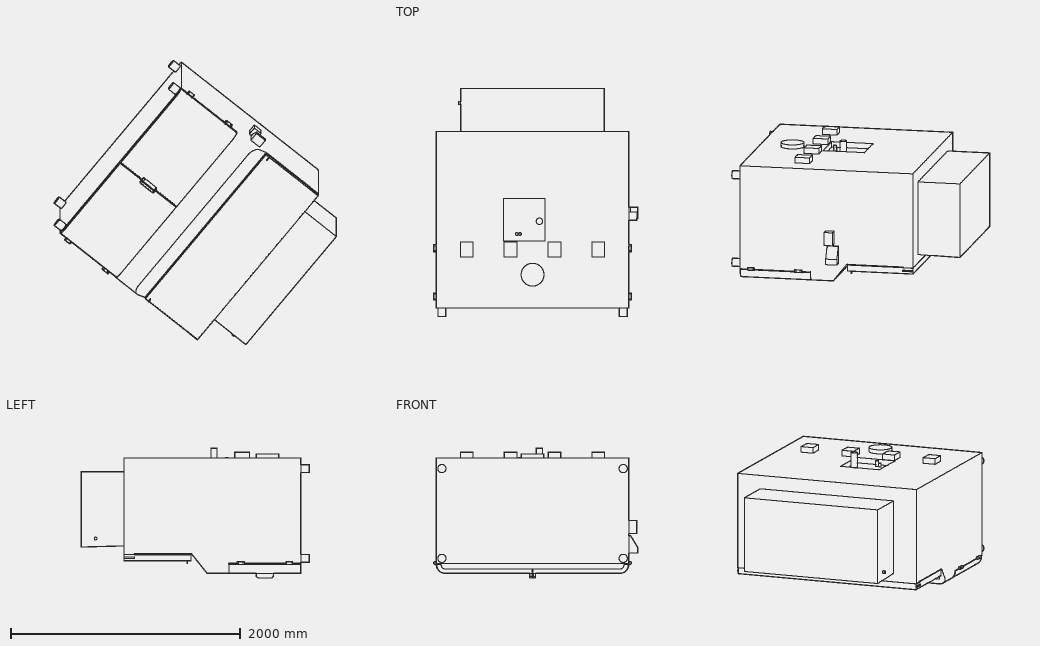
import cadquery as cq


WIDTH = 1680.0
HALF_WIDTH = WIDTH / 2
DEPTH = 1540.0
TOP_Z = 1007.0
FLOOR_Z = 88.0
REAR_FLOOR_Z = 171.0
CORNER_RADIUS = 80.0
SKIRT_FRONT_Y = 627.0
SLOPE_BOTTOM_Y = 816.0
SLOPE_TOP_Y = 953.0

DOOR_TOP_Z = 80.0
DOOR_SIDE_INSET = 5.0
DOOR_CORNER_RADIUS = CORNER_RADIUS - DOOR_SIDE_INSET
DOOR_THICKNESS = 38.0
DOOR_HALF_GAP = 4.0
HANDLE_WIDTH = 22.0
HANDLE_FRONT_Y = 237.0
HANDLE_LENGTH = 151.0
HANDLE_DROP = 40.0
HANDLE_CHAMFER = 14.0
HANDLE_FILLET = 5.0

HINGE_RADIUS = 12.0
HINGE_X = HALF_WIDTH + 10.0
HINGE_Z = 92.0
HINGE_LEAF_REACH = 32.0
HINGES = [(72.0, 58.0, 5.0), (490.0, 65.0, 14.0)]

BUTTON_PITCH = 382.0
BUTTON_COUNT = 4
BUTTON_WIDTH = 111.0
BUTTON_LENGTH = 131.0
BUTTON_HEIGHT = 50.0
BUTTON_FRONT_Y = 445.0
DISC_RADIUS = 100.0
DISC_HEIGHT = 35.0
DISC_Y = 290.0
POCKET_LEFT_X = -255.0
POCKET_WIDTH = 362.0
POCKET_FRONT_Y = 585.0
POCKET_LENGTH = 368.0
POCKET_DEPTH = 48.0
POST_X = 60.0
POST_Y = 756.0
POST_RADIUS = 28.0
POST_TOP = 85.0
PEG_RADIUS = 12.0
PEG_Y = 645.0
PEGS = [(-137.0, 28.0), (-110.0, 50.0)]

FOOT_RADIUS = 35.0
FOOT_LENGTH = 75.0
FOOT_X = 790.0
FOOT_HEIGHTS = (131.0, 914.0)

SIDE_BOX_REACH = 70.0
SIDE_BOX_FRONT_Y = 765.0
SIDE_BOX_LENGTH = 74.0
SIDE_BOX_BOTTOM_Z = 346.0
SIDE_BOX_HEIGHT = 115.0
WEDGE_REACH = 78.0
WEDGE_TOP_REACH = 14.0
WEDGE_FRONT_Y = 780.0
WEDGE_LENGTH = 100.0
WEDGE_BOTTOM_Z = 177.0
WEDGE_EDGE_Z = 227.0
WEDGE_TOP_Z = 330.0

REAR_BOX_WIDTH = 1252.0
REAR_BOX_LENGTH = 375.0
REAR_BOX_TOP_Z = 888.0
REAR_BOX_FRONT_BOTTOM_Z = 239.0
REAR_BOX_BACK_BOTTOM_Z = 229.0
STUD_RADIUS = 12.0
STUD_LENGTH = 20.0
STUD_Y = 1787.0
STUD_Z = 305.0

TRAY_HALF_WIDTH = 834.0
TRAY_FRONT_Y = 955.0
TRAY_BOTTOM_Z = 110.0
TRAY_GAP = 8.0
SUPPORT_LENGTH = 88.0
RAIL_LENGTH = 90.0
RAIL_HEIGHT = 10.0
RAIL_Z = 131.0
TAB_WIDTH = 30.0
TAB_THICKNESS = 4.0
TAB_DROP = 22.0
TAB_Y = 987.0


def block(x, y, z, width, length, height):
    """A box with its lowest corner at (x, y, z)."""
    return cq.Workplane("XY").box(width, length, height, centered=False).translate((x, y, z))


def rod_z(x, y, z, radius, height):
    """A cylinder standing on (x, y, z)."""
    return cq.Workplane("XY").circle(radius).extrude(height).translate((x, y, z))


def rod_y(x, y, z, radius, length):
    """A cylinder running from (x, y, z) toward +Y."""
    return cq.Workplane("XZ").circle(radius).extrude(-length).translate((x, y, z))


def housing_shell():
    side_outline = [
        (0, TOP_Z),
        (DEPTH, TOP_Z),
        (DEPTH, REAR_FLOOR_Z - TRAY_GAP),
        (DEPTH - SUPPORT_LENGTH, REAR_FLOOR_Z - TRAY_GAP),
        (DEPTH - SUPPORT_LENGTH, REAR_FLOOR_Z),
        (SLOPE_TOP_Y, REAR_FLOOR_Z),
        (SLOPE_BOTTOM_Y, 0),
        (SKIRT_FRONT_Y, 0),
        (SKIRT_FRONT_Y, FLOOR_Z),
        (0, FLOOR_Z),
    ]
    shell = cq.Workplane("YZ").polyline(side_outline).close().extrude(HALF_WIDTH, both=True)
    return shell.edges("|Y").edges("<Z").fillet(CORNER_RADIUS)


def add_top_parts(body):
    pocket_floor_z = TOP_Z - POCKET_DEPTH
    body = body.cut(block(POCKET_LEFT_X, POCKET_FRONT_Y, pocket_floor_z,
                          POCKET_WIDTH, POCKET_LENGTH, POCKET_DEPTH))
    body = body.union(rod_z(POST_X, POST_Y, pocket_floor_z, POST_RADIUS, POCKET_DEPTH + POST_TOP))
    for x, height in PEGS:
        body = body.union(rod_z(x, PEG_Y, pocket_floor_z, PEG_RADIUS, height))
    body = body.union(rod_z(0, DISC_Y, TOP_Z, DISC_RADIUS, DISC_HEIGHT))
    for i in range(BUTTON_COUNT):
        center_x = (i - (BUTTON_COUNT - 1) / 2) * BUTTON_PITCH
        body = body.union(block(center_x - BUTTON_WIDTH / 2, BUTTON_FRONT_Y, TOP_Z,
                                BUTTON_WIDTH, BUTTON_LENGTH, BUTTON_HEIGHT))
    return body


def add_feet(body):
    for x in (-FOOT_X, FOOT_X):
        for z in FOOT_HEIGHTS:
            body = body.union(rod_y(x, -FOOT_LENGTH, z, FOOT_RADIUS, FOOT_LENGTH))
    return body


def add_side_parts(body):
    body = body.union(block(HALF_WIDTH, SIDE_BOX_FRONT_Y, SIDE_BOX_BOTTOM_Z,
                            SIDE_BOX_REACH, SIDE_BOX_LENGTH, SIDE_BOX_HEIGHT))
    wedge_outline = [
        (HALF_WIDTH, WEDGE_BOTTOM_Z),
        (HALF_WIDTH + WEDGE_REACH, WEDGE_BOTTOM_Z),
        (HALF_WIDTH + WEDGE_REACH, WEDGE_EDGE_Z),
        (HALF_WIDTH + WEDGE_TOP_REACH, WEDGE_TOP_Z),
        (HALF_WIDTH, WEDGE_TOP_Z),
    ]
    wedge = cq.Workplane("XZ").polyline(wedge_outline).close().extrude(-WEDGE_LENGTH)
    return body.union(wedge.translate((0, WEDGE_FRONT_Y, 0)))


def add_housing_knuckles(body):
    """Recess each hinge barrel into the side wall and fill its two end knuckles."""
    for x in (-HINGE_X, HINGE_X):
        for front_y, length, end_length in HINGES:
            body = body.cut(rod_y(x, front_y, HINGE_Z, HINGE_RADIUS, length))
            for y in (front_y, front_y + length - end_length):
                body = body.union(rod_y(x, y, HINGE_Z, HINGE_RADIUS, end_length))
    return body


def make_housing():
    body = add_top_parts(housing_shell())
    body = add_feet(body)
    body = add_side_parts(body)
    return add_housing_knuckles(body)


def make_door(side):
    """One door; side is -1 for the -X door and 1 for the +X door."""
    edge_x = side * DOOR_HALF_GAP
    outer_x = side * (HALF_WIDTH - DOOR_SIDE_INSET)
    inner_x = outer_x - side * DOOR_THICKNESS
    arc_center_x = outer_x - side * DOOR_CORNER_RADIUS
    inner_radius = DOOR_CORNER_RADIUS - DOOR_THICKNESS
    door = (
        cq.Workplane("XZ")
        .moveTo(edge_x, 0)
        .lineTo(arc_center_x, 0)
        .radiusArc((outer_x, DOOR_CORNER_RADIUS), -side * DOOR_CORNER_RADIUS)
        .lineTo(outer_x, DOOR_TOP_Z)
        .lineTo(inner_x, DOOR_TOP_Z)
        .lineTo(inner_x, DOOR_CORNER_RADIUS)
        .radiusArc((arc_center_x, DOOR_THICKNESS), side * inner_radius)
        .lineTo(edge_x, DOOR_THICKNESS)
        .close()
        .extrude(-SKIRT_FRONT_Y)
    )

    handle = block(-HANDLE_WIDTH / 2, HANDLE_FRONT_Y, -HANDLE_DROP,
                   HANDLE_WIDTH, HANDLE_LENGTH, HANDLE_DROP)
    handle = handle.edges("|X").edges("<Z").chamfer(HANDLE_CHAMFER)
    outer_face = ">X" if side > 0 else "<X"
    handle = handle.faces(outer_face).edges("not >Z").fillet(HANDLE_FILLET)
    door = door.union(handle.translate((edge_x + side * HANDLE_WIDTH / 2, 0, 0)))

    for front_y, length, end_length in HINGES:
        knuckle_y = front_y + end_length
        knuckle_length = length - 2 * end_length
        leaf_x = min(side * HINGE_X, side * (HINGE_X - HINGE_LEAF_REACH))
        leaf = block(leaf_x, knuckle_y, DOOR_TOP_Z, HINGE_LEAF_REACH, knuckle_length,
                     FLOOR_Z - DOOR_TOP_Z)
        door = door.union(leaf)
        door = door.union(rod_y(side * HINGE_X, knuckle_y, HINGE_Z, HINGE_RADIUS, knuckle_length))
    return door


def make_rear_box():
    back_y = DEPTH + REAR_BOX_LENGTH
    side_outline = [
        (DEPTH, REAR_BOX_TOP_Z),
        (back_y, REAR_BOX_TOP_Z),
        (back_y, REAR_BOX_BACK_BOTTOM_Z),
        (DEPTH, REAR_BOX_FRONT_BOTTOM_Z),
    ]
    half_width = REAR_BOX_WIDTH / 2
    box = cq.Workplane("YZ").polyline(side_outline).close().extrude(half_width, both=True)
    stud = cq.Workplane("YZ").circle(STUD_RADIUS).extrude(-STUD_LENGTH)
    return box.union(stud.translate((-half_width, STUD_Y, STUD_Z)))


def make_tray():
    top_z = REAR_FLOOR_Z - TRAY_GAP
    tray = block(-TRAY_HALF_WIDTH, TRAY_FRONT_Y, TRAY_BOTTOM_Z,
                 2 * TRAY_HALF_WIDTH, DEPTH - TRAY_FRONT_Y, top_z - TRAY_BOTTOM_Z)
    rails = block(-HALF_WIDTH, DEPTH - RAIL_LENGTH, RAIL_Z, WIDTH, RAIL_LENGTH, RAIL_HEIGHT)
    tray = tray.union(rails)
    for left_x in (-TRAY_HALF_WIDTH, TRAY_HALF_WIDTH - TAB_WIDTH):
        tray = tray.union(block(left_x, TAB_Y, TRAY_BOTTOM_Z - TAB_DROP,
                                TAB_WIDTH, TAB_THICKNESS, TAB_DROP))
    return tray


housing = make_housing()
doors = [make_door(side) for side in (-1, 1)]
rear_box = make_rear_box()
tray = make_tray()

result = cq.Compound.makeCompound(
    [housing.val(), *[door.val() for door in doors], rear_box.val(), tray.val()]
)